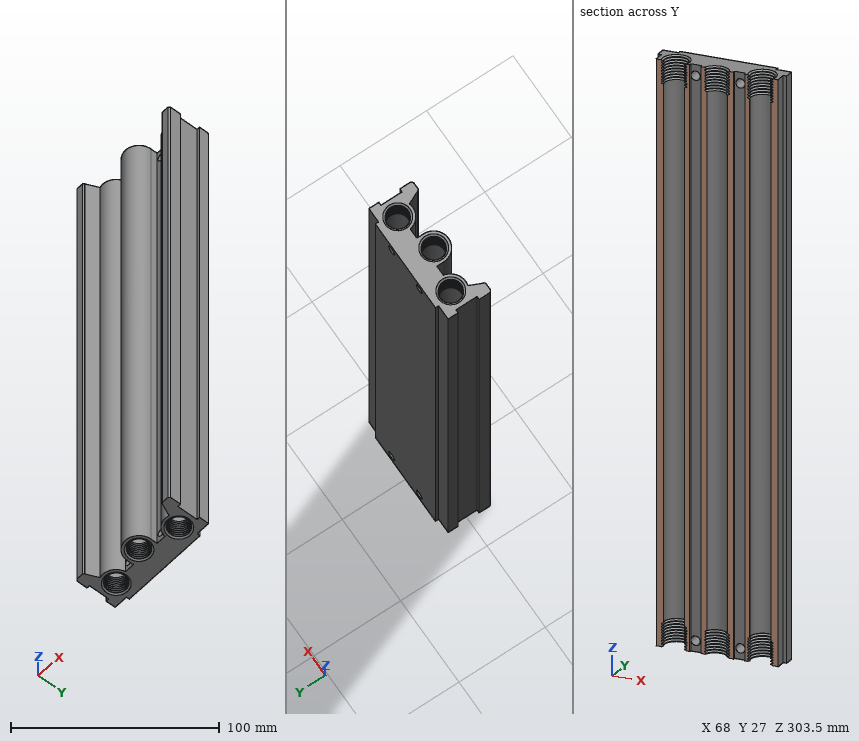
import cadquery as cq
import math

length = 303.5
width = 68.0
depth = 27.0
half_width = width / 2

pad_half_width = 25.8
pad_height = 1.8

groove_depth = 1.8
groove_back_y = -7.5
groove_front_y = -19.7

web_front_y = -12.5
leg_outer_chamfer = 1.0
leg_inner_chamfer = 0.5
leg_tip_width = 5.8
leg_land = 0.3
leg_root_x = 25.0
leg_root_y = -18.8

channel_spacing = 22.8
side_channel_y = -11.0
middle_channel_y = -16.5
wall_radius = 8.65
bore_diameter = 12.0

thread_diameter = 14.3
thread_pitch = 1.5
thread_groove_count = 9
thread_angle = 60

hole_diameter = 5.0
hole_x = 11.8
hole_end_distance = 5.8

channel_centres = [
    (-channel_spacing, side_channel_y),
    (0, middle_channel_y),
    (channel_spacing, side_channel_y),
]


def make_profile():
    tip_inner_x = half_width - leg_tip_width
    groove_floor_x = half_width - groove_depth
    right_side = [
        (pad_half_width, 0),
        (pad_half_width, -pad_height),
        (half_width, -pad_height),
        (half_width, groove_back_y),
        (groove_floor_x, groove_back_y),
        (groove_floor_x, groove_front_y),
        (half_width, groove_front_y),
        (half_width, -depth + leg_outer_chamfer),
        (half_width - leg_outer_chamfer, -depth),
        (tip_inner_x + leg_inner_chamfer, -depth),
        (tip_inner_x, -depth + leg_inner_chamfer),
        (tip_inner_x, -depth + leg_inner_chamfer + leg_land),
        (leg_root_x, leg_root_y),
        (channel_spacing, side_channel_y),
        (channel_spacing, web_front_y),
    ]
    left_side = [(-x, y) for x, y in reversed(right_side)]
    return cq.Workplane("XY").polyline(right_side + left_side).close().extrude(length)


def make_channel_walls():
    neck_centre_y = (web_front_y + middle_channel_y) / 2
    walls = cq.Workplane("XY").pushPoints(channel_centres).circle(wall_radius).extrude(length)
    neck = (
        cq.Workplane("XY")
        .center(0, neck_centre_y)
        .rect(2 * wall_radius, web_front_y - middle_channel_y)
        .extrude(length)
    )
    return walls.union(neck)


def make_threaded_bore():
    bore_radius = bore_diameter / 2
    thread_radius = thread_diameter / 2
    groove_half_height = (thread_radius - bore_radius) * math.tan(math.radians(thread_angle / 2))

    upper_wall = []
    for groove in reversed(range(thread_groove_count)):
        z = length - groove * thread_pitch
        upper_wall += [
            (bore_radius, z - groove_half_height),
            (thread_radius, z),
            (bore_radius, z + groove_half_height),
        ]
    lower_wall = [(r, length - z) for r, z in reversed(upper_wall)]
    half_section = [(0, lower_wall[0][1])] + lower_wall + upper_wall + [(0, upper_wall[-1][1])]
    return cq.Workplane("XZ").polyline(half_section).close().revolve(360, (0, 0), (0, 1))


def cut_channels(body):
    bore = make_threaded_bore()
    for x, y in channel_centres:
        body = body.cut(bore.translate((x, y, 0)))
    return body


def cut_mounting_holes(body):
    centres = [
        (x, z)
        for x in (-hole_x, hole_x)
        for z in (hole_end_distance, length - hole_end_distance)
    ]
    holes = cq.Workplane("XZ").pushPoints(centres).circle(hole_diameter / 2).extrude(depth)
    return body.cut(holes)


result = make_profile().union(make_channel_walls())
result = cut_mounting_holes(cut_channels(result))